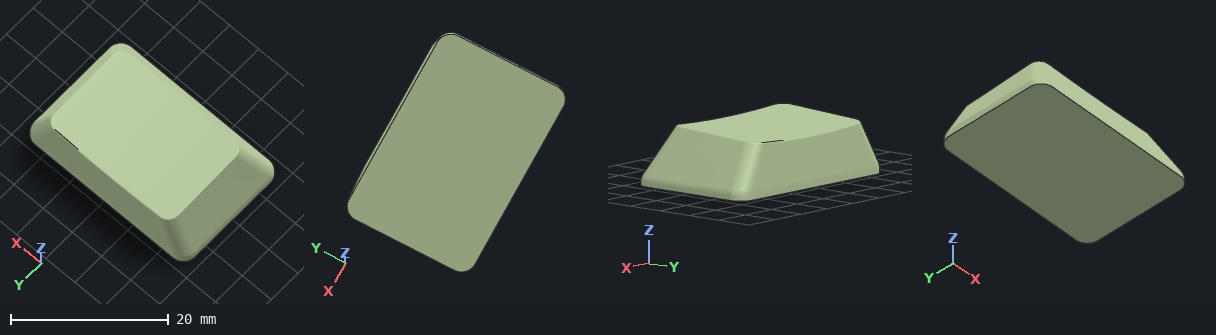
import cadquery as cq
import math

LENGTH = 27.7
WIDTH = 18.16
BASE_CORNER_RADIUS = 2.0
SKIRT_HEIGHT = 0.66
SHOULDER_TOP = 1.3
SHOULDER_STEPS = 3

TOP_LENGTH = 21.27
TOP_FRONT_Y = -5.65
TOP_BACK_Y = 8.47
TOP_CORNER_RADIUS = 1.72
BLANK_HEIGHT = 7.86

DISH_RADIUS = 117.68
DISH_TILT = 3.0
DISH_FRONT_HEIGHT = 7.35
TOP_EDGE_RADIUS = 0.22

CUT_MARGIN = 5.55


def tapered_outline(taper, height):
    """Rounded rectangle at a height; taper runs from 0 (foot) to 1 (top outline)."""
    def blend(foot, top):
        return foot + (top - foot) * taper

    front_y = blend(-WIDTH / 2, TOP_FRONT_Y)
    back_y = blend(WIDTH / 2, TOP_BACK_Y)
    radius = blend(BASE_CORNER_RADIUS, TOP_CORNER_RADIUS)
    sketch = cq.Sketch().rect(blend(LENGTH, TOP_LENGTH), back_y - front_y).vertices().fillet(radius)
    outline = sketch.reset().val().Faces()[0].outerWire()
    return outline.moved(cq.Location(cq.Vector(0, (front_y + back_y) / 2, height)))


def make_blank():
    """Upright skirt, curved shoulder and straight sloping walls."""
    shoulder_rise = SHOULDER_TOP - SKIRT_HEIGHT
    taper_per_height = 1 / (BLANK_HEIGHT - SKIRT_HEIGHT - shoulder_rise / 2)

    shoulder_outlines = []
    for step in range(SHOULDER_STEPS + 1):
        fraction = step / SHOULDER_STEPS
        taper = taper_per_height * shoulder_rise * fraction**2 / 2
        height = SKIRT_HEIGHT + shoulder_rise * fraction
        shoulder_outlines.append(tapered_outline(taper, height))

    foot = tapered_outline(0, 0)
    hinge_left = cq.Vector(-0.28, TOP_FRONT_Y, BLANK_HEIGHT)
    hinge_right = cq.Vector(0.28, TOP_FRONT_Y, BLANK_HEIGHT)
    top = tapered_outline(1, BLANK_HEIGHT).rotate(hinge_left, hinge_right, -DISH_TILT)
    skirt = cq.Solid.makeLoft([foot, shoulder_outlines[0]], True)
    shoulder = cq.Solid.makeLoft(shoulder_outlines, False)
    walls = cq.Solid.makeLoft([shoulder_outlines[-1], top], True)
    return cq.Workplane(skirt).union(cq.Workplane(shoulder)).union(cq.Workplane(walls))


def make_dish():
    """Cylinder whose lowest line slopes down from front to back."""
    tilt = math.radians(DISH_TILT)
    along = cq.Vector(0, math.cos(tilt), -math.sin(tilt))
    upright = cq.Vector(0, math.sin(tilt), math.cos(tilt))
    front_low_point = cq.Vector(0, TOP_FRONT_Y, DISH_FRONT_HEIGHT)
    reach = WIDTH + CUT_MARGIN
    start = front_low_point + upright * DISH_RADIUS - along * reach
    return cq.Workplane(cq.Solid.makeCylinder(DISH_RADIUS, 2 * reach, start, along))


blank = make_blank()
dished = blank.cut(make_dish())
result = dished.faces(">Z").edges().fillet(TOP_EDGE_RADIUS)